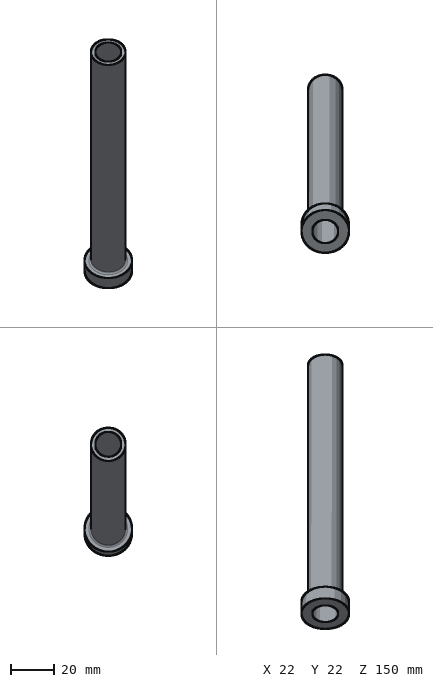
import cadquery as cq

total_length = 150.0
head_diameter = 22.0
head_height = 7.0
sleeve_diameter = 16.0
bore_diameter = 12.0
neck_fillet = 0.9

head_radius = head_diameter / 2
sleeve_radius = sleeve_diameter / 2
bore_radius = bore_diameter / 2

half_section = (
    cq.Workplane("XZ")
    .moveTo(-bore_radius, 0)
    .lineTo(-head_radius, 0)
    .lineTo(-head_radius, head_height)
    .lineTo(-sleeve_radius - neck_fillet, head_height)
    .radiusArc((-sleeve_radius, head_height + neck_fillet), -neck_fillet)
    .lineTo(-sleeve_radius, total_length)
    .lineTo(-bore_radius, total_length)
    .close()
)

result = half_section.revolve(360, (0, 0), (0, 1))